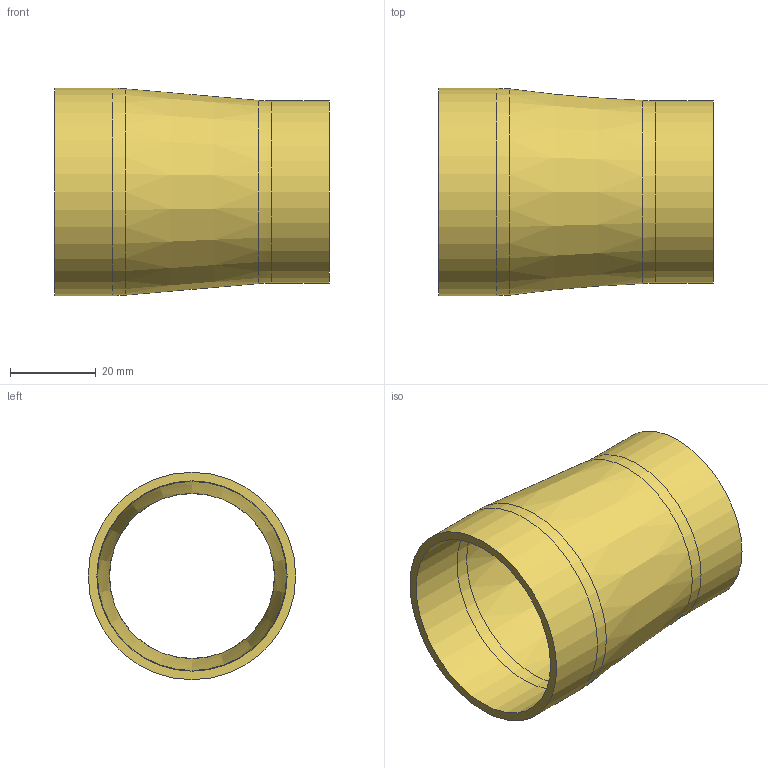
import cadquery as cq
import math

length = 64.0
large_radius = 48.3 / 2
small_radius = 42.4 / 2
wall = 2.0
end_length = 15.0
bend_radius = 35.0

cone_length = length - 2 * end_length
cone_angle = math.atan2(large_radius - small_radius, cone_length)
bend_reach = bend_radius * math.tan(cone_angle / 2)
bend_run = bend_reach * math.cos(cone_angle)
bend_drop = bend_reach * math.sin(cone_angle)


def reducer_body(start_radius, end_radius):
    """Solid reducer shape about the X axis, from the large end to the small end."""
    first_corner = end_length
    second_corner = length - end_length
    profile = (
        cq.Workplane("XZ")
        .lineTo(0, start_radius)
        .lineTo(first_corner - bend_reach, start_radius)
        .tangentArcPoint((first_corner + bend_run, start_radius - bend_drop), relative=False)
        .lineTo(second_corner - bend_run, end_radius + bend_drop)
        .tangentArcPoint((second_corner + bend_reach, end_radius), relative=False)
        .lineTo(length, end_radius)
        .lineTo(length, 0)
        .close()
    )
    return profile.revolve(360, (0, 0, 0), (1, 0, 0))


outside = reducer_body(large_radius, small_radius)
bore = reducer_body(large_radius - wall, small_radius - wall)
result = outside.cut(bore)